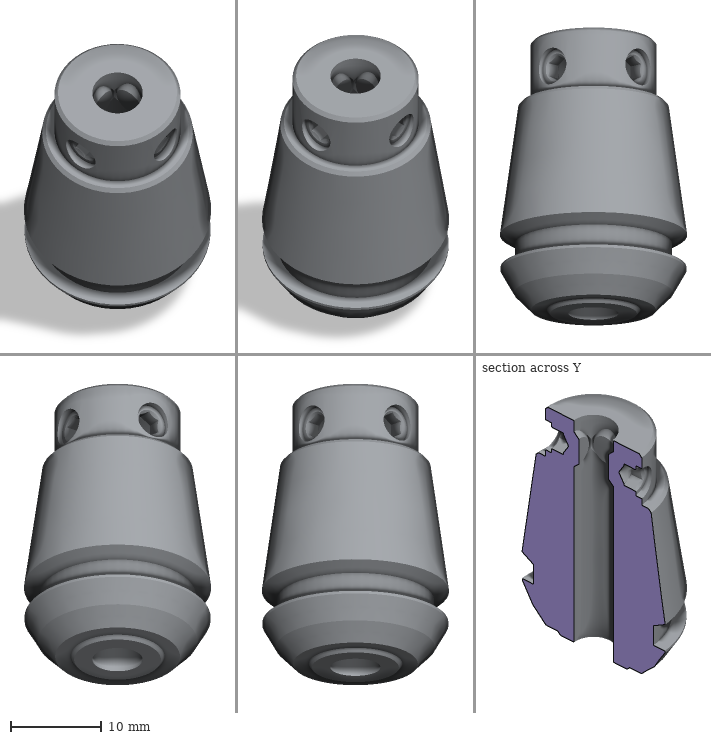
import cadquery as cq
import math

total_height = 31
shoulder_z = 24.0
sleeve_bottom_z = 8.95
groove_top_z = 7.97
flange_top_z = 5.27
flange_rim = 0.3
flange_bevel_z = 2.32
edge_chamfer = 0.4

collar_diameter = 13.98
sleeve_top_diameter = 16.68
sleeve_bottom_diameter = 20.75
groove_diameter = 17.4
flange_diameter = 20.6
flange_bevel_diameter = 17.6
flange_bottom_diameter = 13.83
tip_diameter = 9.6
bore_diameter = 5.58

screw_count = 4
screw_z = 26.97
screw_diameter = 5.0
screw_inner_reach = 2.1
screw_outer_reach = 6.1
screw_point_diameter = 3.5
screw_hole_diameter = 4.12
socket_width = 2.55
socket_mouth_diameter = 3.13
socket_depth = 1.7
socket_cone_depth = 0.75


def turned_body():
    """Revolve the outer outline about Z and drill the central bore."""
    outline = [
        (0, 0),
        (tip_diameter / 2, 0),
        (tip_diameter / 2 + edge_chamfer, edge_chamfer),
        (flange_bottom_diameter / 2, edge_chamfer),
        (flange_bevel_diameter / 2, flange_bevel_z),
        (flange_diameter / 2, flange_top_z - flange_rim),
        (flange_diameter / 2, flange_top_z),
        (groove_diameter / 2, flange_top_z),
        (groove_diameter / 2, groove_top_z),
        (sleeve_bottom_diameter / 2, sleeve_bottom_z),
        (sleeve_top_diameter / 2, shoulder_z - edge_chamfer),
        (sleeve_top_diameter / 2 - edge_chamfer, shoulder_z),
        (collar_diameter / 2, shoulder_z),
        (collar_diameter / 2, total_height - edge_chamfer),
        (collar_diameter / 2 - edge_chamfer, total_height),
        (0, total_height),
    ]
    body = cq.Workplane("XZ").polyline(outline).close().revolve(360, (0, 0, 0), (0, 1, 0))
    bore = cq.Workplane("XY").circle(bore_diameter / 2).extrude(total_height)
    return body.cut(bore)


def inward_cone(base_radius, height, base_reach):
    """Cone whose base lies at base_reach and whose apex points toward the bore axis."""
    base_centre = cq.Vector(0, 0, base_reach)
    inward = cq.Vector(0, 0, -1)
    return cq.Workplane(cq.Solid.makeCone(base_radius, 0, height, pnt=base_centre, dir=inward))


def set_screw():
    """Screw with a 45 degree point that narrows toward the bore axis."""
    screw = (
        cq.Workplane("XY", origin=(0, 0, screw_inner_reach))
        .circle(screw_diameter / 2)
        .extrude(screw_outer_reach - screw_inner_reach)
    )
    return screw.faces("<Z").chamfer((screw_diameter - screw_point_diameter) / 2)


def hex_socket():
    """Hexagonal recess in the outer end of a screw, with a drill point and a countersunk mouth."""
    socket_floor = screw_outer_reach - socket_depth
    corner_diameter = socket_width / math.cos(math.pi / 6)
    hexagon = (
        cq.Workplane("XY", origin=(0, 0, socket_floor))
        .polygon(6, corner_diameter)
        .extrude(socket_depth)
    )
    drill_point = inward_cone(socket_width / 2, socket_cone_depth, socket_floor)
    mouth_radius = socket_mouth_diameter / 2
    mouth = inward_cone(mouth_radius, mouth_radius, screw_outer_reach)
    return hexagon.union(drill_point).union(mouth)


def around_collar(radial_shape):
    """Lay a shape built along +Z outward along +X and repeat it about the axis."""
    laid = radial_shape.rotate((0, 0, 0), (0, 1, 0), 90).translate((0, 0, screw_z))
    return [laid.rotate((0, 0, 0), (0, 0, 1), i * 360 / screw_count) for i in range(screw_count)]


result = turned_body()
screw_hole = cq.Workplane("XY").circle(screw_hole_diameter / 2).extrude(collar_diameter / 2)
for hole in around_collar(screw_hole):
    result = result.cut(hole)

for screw in around_collar(set_screw().cut(hex_socket())):
    result = result.union(screw)